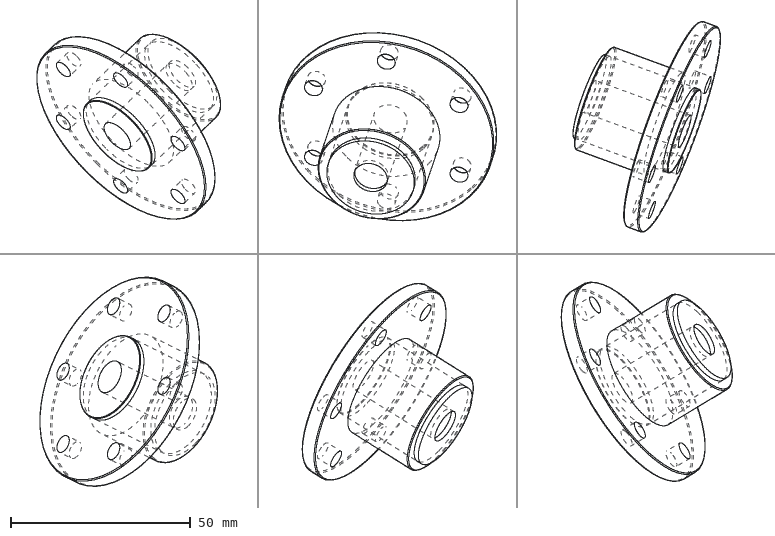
import cadquery as cq

flange_diameter = 60.95
flange_thickness = 4.65
barrel_diameter = 30.5
barrel_length = 21.0
edge_chamfer = 0.3

bolt_count = 6
bolt_circle_diameter = 47.7
bolt_hole_diameter = 5.05

bore_diameter = 9.5
core_diameter = 24.8
core_projection = 1.45
core_chamfer = 0.2
end_ring_thickness = core_projection

flange_back = flange_thickness
barrel_end = flange_back + barrel_length


def cylinder(diameter, start, length):
    """Solid cylinder along +Y, beginning at Y = start."""
    plane = cq.Plane(origin=(0, start, 0), xDir=(1, 0, 0), normal=(0, 1, 0))
    return cq.Workplane(plane).circle(diameter / 2).extrude(length)


def make_housing():
    """Flanged barrel with a through seat for the core and a circle of bolt holes."""
    flange = cylinder(flange_diameter, 0, flange_thickness).edges().chamfer(edge_chamfer)
    barrel = cylinder(barrel_diameter, flange_back, barrel_length).faces(">Y").edges().chamfer(edge_chamfer)
    core_seat = cylinder(core_diameter, 0, barrel_end)
    bolt_holes = (
        cq.Workplane("XZ")
        .polarArray(bolt_circle_diameter / 2, 90, 360, bolt_count)
        .circle(bolt_hole_diameter / 2)
        .extrude(-flange_thickness)
    )
    return flange.union(barrel).cut(core_seat).cut(bolt_holes)


def make_core():
    """Bored core through the housing, standing proud of the flange with a chamfered front edge."""
    core = cylinder(core_diameter, -core_projection, core_projection + barrel_end)
    core = core.faces("<Y").edges().chamfer(core_chamfer)
    return core.cut(cylinder(bore_diameter, -core_projection, core_projection + barrel_end))


def make_end_ring():
    """Plain ring against the rear end of the barrel and core."""
    ring = cylinder(core_diameter, barrel_end, end_ring_thickness)
    return ring.cut(cylinder(bore_diameter, barrel_end, end_ring_thickness))


housing = make_housing()
core = make_core()
end_ring = make_end_ring()

result = cq.Compound.makeCompound([*housing.solids().vals(), *core.solids().vals(), *end_ring.solids().vals()])